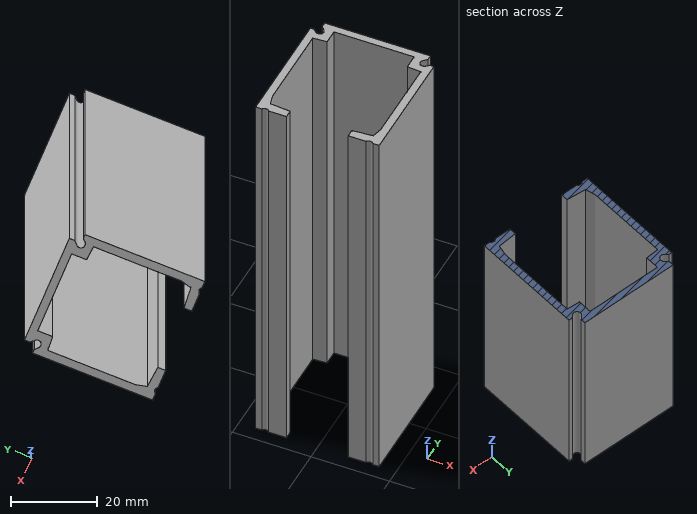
import cadquery as cq

WIDTH = 31.5
DEPTH = 33.0
LENGTH = 100.0

WALL = 2.0
BACK_WIDTH = 27.0
BACK_THICKNESS = 1.95

STEP_HALF_WIDTH = 10.2
STEP_INNER_DEPTH = 5.7
STEP_OUTER_DEPTH = 5.95
SIDE_TOP_DEPTH = 3.0

NOTCH_CENTRE_X = 13.3
NOTCH_CENTRE_DEPTH = 3.0
NOTCH_RADIUS = 1.0
NOTCH_ANGLE = 45
NOTCH_REACH = 2.0

SLOT_WIDTH = 15.7
FLANGE_TIP = 2.0
FLANGE_ROOT = 2.45
ROOT_BEVEL_WIDTH = 0.65
ROOT_BEVEL_HEIGHT = 2.7

GROOVE_WIDTH = 1.7
GROOVE_DEPTH = 0.45
GROOVE_OFFSET = 2.5

HALF_WIDTH = WIDTH / 2
FRONT = -DEPTH / 2
BACK = DEPTH / 2
INNER = HALF_WIDTH - WALL


def half_section():
    """Closed outline of the +X half of the channel, starting on the mid-plane."""
    return (
        cq.Workplane("XY", origin=(0, 0, -LENGTH / 2))
        .moveTo(0, BACK)
        .lineTo(BACK_WIDTH / 2, BACK)
        .lineTo(BACK_WIDTH / 2, BACK - SIDE_TOP_DEPTH)
        .lineTo(HALF_WIDTH, BACK - SIDE_TOP_DEPTH)
        .lineTo(HALF_WIDTH, FRONT)
        .lineTo(SLOT_WIDTH / 2, FRONT)
        .lineTo(SLOT_WIDTH / 2, FRONT + FLANGE_TIP)
        .lineTo(INNER - ROOT_BEVEL_WIDTH, FRONT + FLANGE_ROOT)
        .lineTo(INNER, FRONT + FLANGE_ROOT + ROOT_BEVEL_HEIGHT)
        .lineTo(INNER, BACK - STEP_OUTER_DEPTH)
        .lineTo(STEP_HALF_WIDTH, BACK - STEP_INNER_DEPTH)
        .lineTo(STEP_HALF_WIDTH, BACK - BACK_THICKNESS)
        .lineTo(0, BACK - BACK_THICKNESS)
        .close()
    )


def flange_groove():
    """Round groove whose arc spans GROOVE_WIDTH on the front face."""
    radius = (GROOVE_WIDTH**2 / 4 + GROOVE_DEPTH**2) / (2 * GROOVE_DEPTH)
    return (
        cq.Workplane("XY", origin=(0, 0, -LENGTH / 2))
        .center(HALF_WIDTH - GROOVE_OFFSET, FRONT + GROOVE_DEPTH - radius)
        .circle(radius)
        .extrude(LENGTH)
    )


def corner_notch():
    """Round-bottomed slot that runs diagonally inward at the back corner."""
    return (
        cq.Workplane("XY", origin=(NOTCH_CENTRE_X, BACK - NOTCH_CENTRE_DEPTH, -LENGTH / 2))
        .transformed(rotate=(0, 0, NOTCH_ANGLE))
        .moveTo(0, NOTCH_RADIUS)
        .threePointArc((-NOTCH_RADIUS, 0), (0, -NOTCH_RADIUS))
        .lineTo(NOTCH_REACH, -NOTCH_RADIUS)
        .lineTo(NOTCH_REACH, NOTCH_RADIUS)
        .close()
        .extrude(LENGTH)
    )


half = half_section().extrude(LENGTH)
half = half.cut(corner_notch()).cut(flange_groove())
result = half.union(half.mirror("YZ"))